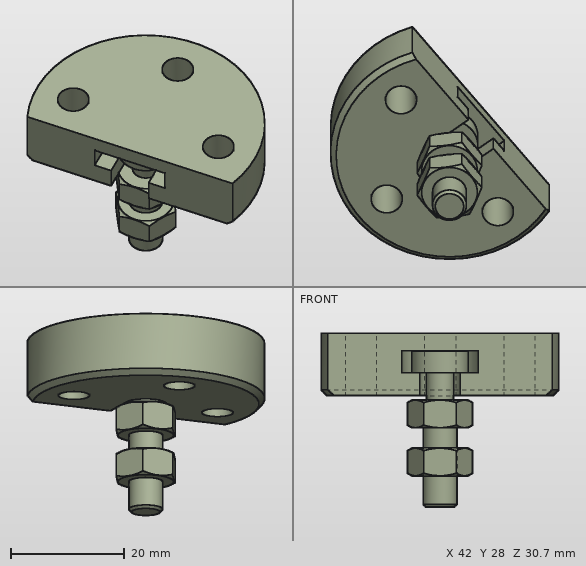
import cadquery as cq
import math

plate_diameter = 42.0
plate_height = 11.0
flat_distance = 7.0
plate_chamfer = 1.0
mount_hole_diameter = 5.5
mount_hole_radius = 14.0
mount_hole_angles = (0, 90, 180)

slot_width = 13.52
slot_height = 3.9
slot_roof = 3.05
neck_slot_width = 7.22

across_flats = 10.0
hex_height = 4.95
hex_face_diameter = 9.83
hex_chamfer_angle = 30.0
hex_gap = 3.53

head_diameter = 10.0
head_clearance = 0.13
neck_diameter = 4.8
shank_diameter = 6.0
tip_chamfer = 0.5
overall_height = 30.7
collar_depth = 11.75

slot_top = plate_height - slot_roof
slot_floor = slot_top - slot_height
head_top = slot_top - head_clearance
collar_top = plate_height - collar_depth
collar_bottom = collar_top - hex_height
nut_top = collar_bottom - hex_gap
nut_bottom = nut_top - hex_height
bolt_tip = plate_height - overall_height


def cylinder(diameter, bottom, top):
    """Solid cylinder on the bolt axis between two levels."""
    return cq.Workplane("XY").workplane(offset=bottom).circle(diameter / 2).extrude(top - bottom)


def slot_cutter(width, bottom, top):
    """Slot running from the flat side to a semicircular end about the bolt axis."""
    channel = (
        cq.Workplane("XY")
        .workplane(offset=bottom)
        .center(0, -flat_distance / 2)
        .rect(width, flat_distance)
        .extrude(top - bottom)
    )
    return channel.union(cylinder(width, bottom, top))


def chamfered_hexagon(bottom):
    """Hexagonal prism with corners along X, trimmed by a cone at both ends."""
    across_corners = across_flats / math.cos(math.radians(30))
    corner_radius = across_corners / 2
    face_radius = hex_face_diameter / 2
    corner_drop = (corner_radius - face_radius) * math.tan(math.radians(hex_chamfer_angle))
    top = bottom + hex_height
    prism = cq.Workplane("XY").workplane(offset=bottom).polygon(6, across_corners).extrude(hex_height)
    envelope = (
        cq.Workplane("XZ")
        .moveTo(0, bottom)
        .lineTo(face_radius, bottom)
        .lineTo(corner_radius, bottom + corner_drop)
        .lineTo(corner_radius, top - corner_drop)
        .lineTo(face_radius, top)
        .lineTo(0, top)
        .close()
        .revolve(360, (0, 0, 0), (0, 1, 0))
    )
    return prism.intersect(envelope)


def make_plate():
    """Flat-sided disc with three mounting holes and a T-slot."""
    disc = cylinder(plate_diameter, 0, plate_height).faces("<Z").chamfer(plate_chamfer)
    kept_depth = flat_distance + plate_diameter / 2
    kept_side = (
        cq.Workplane("XY")
        .center(0, kept_depth / 2 - flat_distance)
        .rect(plate_diameter, kept_depth)
        .extrude(plate_height)
    )
    hole_centres = [
        (
            mount_hole_radius * math.cos(math.radians(angle)),
            mount_hole_radius * math.sin(math.radians(angle)),
        )
        for angle in mount_hole_angles
    ]
    holes = cq.Workplane("XY").pushPoints(hole_centres).circle(mount_hole_diameter / 2).extrude(plate_height)
    wide_slot = slot_cutter(slot_width, slot_floor, slot_top)
    neck_slot = slot_cutter(neck_slot_width, 0, slot_floor)
    return disc.intersect(kept_side).cut(holes).cut(wide_slot).cut(neck_slot)


def make_bolt():
    """Round head, neck, fixed hexagonal collar and shank in one piece."""
    head = cylinder(head_diameter, slot_floor, head_top)
    neck = cylinder(neck_diameter, collar_top, slot_floor)
    collar = chamfered_hexagon(collar_bottom)
    shank = cylinder(shank_diameter, bolt_tip, collar_bottom).faces("<Z").chamfer(tip_chamfer)
    return head.union(neck).union(collar).union(shank)


def make_nut():
    """Hexagonal nut fitting closely around the shank."""
    return chamfered_hexagon(nut_bottom).cut(cylinder(shank_diameter, nut_bottom, nut_top))


plate = make_plate()
bolt = make_bolt()
nut = make_nut()

result = cq.Compound.makeCompound([plate.val(), bolt.val(), nut.val()])